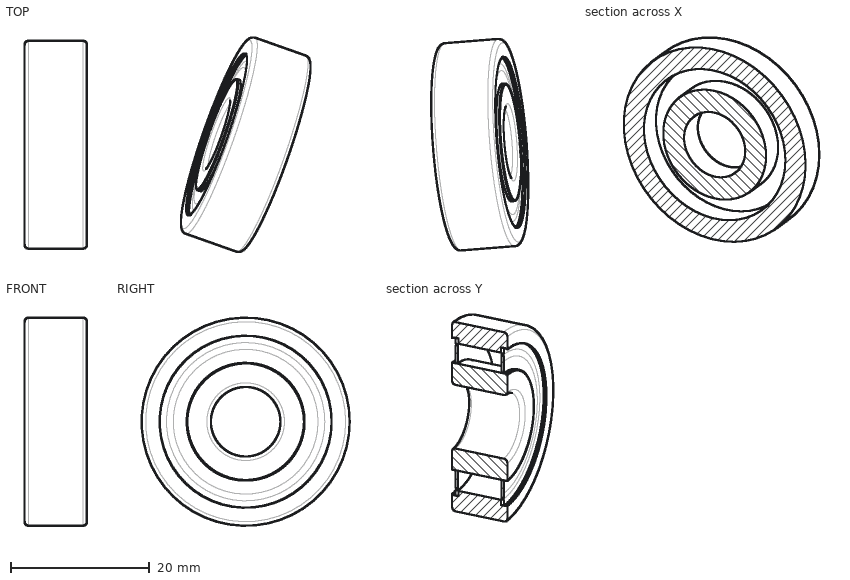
import cadquery as cq

width = 9.0
outer_diameter = 30.0
bore_diameter = 10.0
edge_radius = 0.6

outer_ring_bore = 23.2
inner_ring_diameter = 17.0
inner_ring_chamfer = 0.12

seat_mouth_diameter = 24.72
lip_depth = 0.18
lip_overhang = 0.05
shield_diameter = seat_mouth_diameter + 2 * lip_overhang
shield_hole = inner_ring_diameter
groove_bottom_diameter = 22.8
shield_flat_diameter = 20.85
seat_depth = 1.0
shield_face_depth = 0.5
groove_bottom_depth = 0.6

half_width = width / 2


def ring(outer, inner):
    """Full-width ring about the X axis."""
    return (
        cq.Workplane("YZ", origin=(-half_width, 0, 0))
        .circle(outer / 2)
        .circle(inner / 2)
        .extrude(width)
    )


def disc(side, start_depth, end_depth, diameter):
    """Disc between two depths below one end face; side is -1 or 1 along X."""
    return (
        cq.Workplane("YZ", origin=(side * (half_width - start_depth), 0, 0))
        .circle(diameter / 2)
        .extrude(side * (start_depth - end_depth))
    )


def make_outer_ring():
    """Outer ring with rounded outer edges and a lipped shield seat in each face."""
    body = ring(outer_diameter, outer_ring_bore)
    body = body.edges(cq.selectors.RadiusNthSelector(-1)).fillet(edge_radius)
    for side in (-1, 1):
        body = body.cut(disc(side, 0, seat_depth, seat_mouth_diameter))
        body = body.cut(disc(side, lip_depth, seat_depth, shield_diameter))
    return body


def make_inner_ring():
    """Inner ring with rounded bore edges and lightly chamfered outer edges."""
    body = ring(inner_ring_diameter, bore_diameter)
    body = body.edges(cq.selectors.RadiusNthSelector(-1)).chamfer(inner_ring_chamfer)
    return body.edges(cq.selectors.RadiusNthSelector(0)).fillet(edge_radius)


def make_shield(side):
    """Annular shield with a shallow V groove; side is -1 or 1 along X."""
    seat_x = side * (half_width - seat_depth)
    groove_x = side * (half_width - groove_bottom_depth)
    face_x = side * (half_width - shield_face_depth)
    return (
        cq.Workplane("XY")
        .moveTo(seat_x, shield_hole / 2)
        .lineTo(face_x, shield_hole / 2)
        .lineTo(face_x, shield_flat_diameter / 2)
        .lineTo(groove_x, groove_bottom_diameter / 2)
        .lineTo(face_x, shield_diameter / 2)
        .lineTo(seat_x, shield_diameter / 2)
        .close()
        .revolve(360, (0, 0, 0), (1, 0, 0))
    )


outer_ring = make_outer_ring()
inner_ring = make_inner_ring()
shields = [make_shield(side) for side in (-1, 1)]

result = cq.Compound.makeCompound(
    [outer_ring.val(), inner_ring.val(), *[shield.val() for shield in shields]]
)